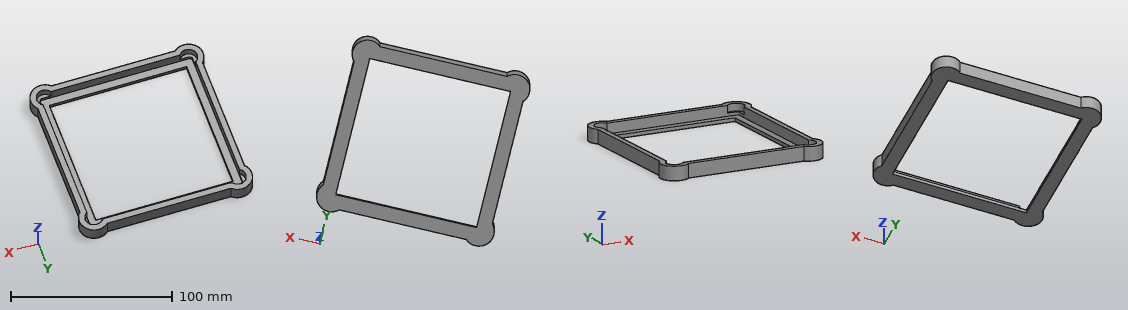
import cadquery as cq

outer_size = 113.0
height = 9.5
boss_radius = 9.5
wall = 4.0
recess_size = 100.0
recess_corner_radius = 2.0
window_size = 89.9
lip_thickness = 2.5
pocket_depth = 5.0

frame_size = recess_size + 2 * wall
frame_corner_radius = recess_corner_radius + wall
boss_spacing = outer_size - 2 * boss_radius
pocket_radius = boss_radius - wall


def square_block(size, bottom, top):
    """Square prism centred on the Z axis."""
    return cq.Workplane("XY").workplane(offset=bottom).rect(size, size).extrude(top - bottom)


def corner_cylinders(radius, bottom, top):
    """Four upright cylinders on the corner boss axes."""
    return (
        cq.Workplane("XY")
        .workplane(offset=bottom)
        .rect(boss_spacing, boss_spacing, forConstruction=True)
        .vertices()
        .circle(radius)
        .extrude(top - bottom)
    )


frame = square_block(frame_size, 0, height).edges("|Z").fillet(frame_corner_radius)
body = frame.union(corner_cylinders(boss_radius, 0, height))

recess = square_block(recess_size, lip_thickness, height).edges("|Z").fillet(recess_corner_radius)

window = square_block(window_size, 0, height)

pockets = corner_cylinders(pocket_radius, height - pocket_depth, height)

result = body.cut(recess).cut(window).cut(pockets)